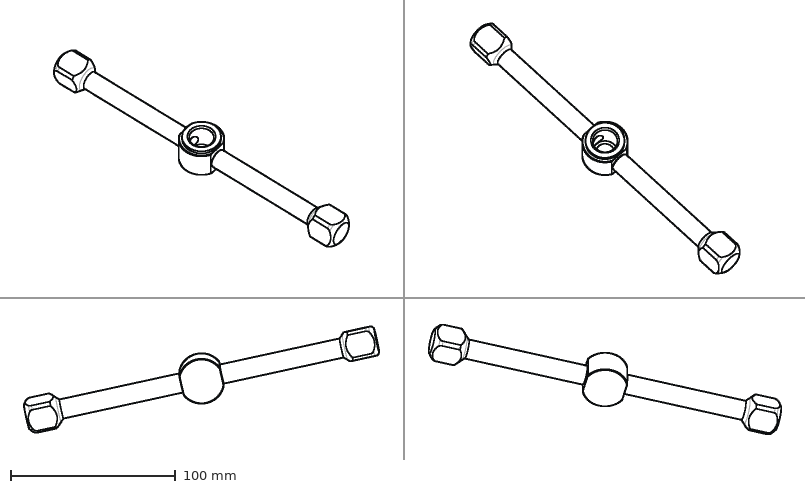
import cadquery as cq
import math

overall_length = 218.0

hub_diameter = 28.0
hub_across_flats = 24.9
hub_bottom = -9.0
hub_top = 11.1
hub_edge_chamfer = 0.5
boss_diameter = 23.8
boss_height = 2.0

bore_diameter = 15.0
bore_rim_diameter = 17.2
bore_depth = 16.0
drill_point_diameter = 11.1
drill_point_angle = 118.0

rod_diameter = 12.0
rod_end_chamfer = 0.33
spigot_diameter = 9.0

cap_length = 21.8
cap_across_flats = 18.0
cap_barrel_diameter = 22.9
cap_tilt = 10.0
cap_face_diameter = 15.0
cap_nose_sphere_radius = 14.0
cap_nose_fillet = 3.0
cap_collar_length = 2.0
cap_collar_diameter = 15.7


def make_hub():
    """Round hub with two flats, a low boss on top, a blind bore and spigot holes."""
    shoulder = hub_top - boss_height
    hub = (
        cq.Workplane("XY", origin=(0, 0, hub_bottom))
        .circle(hub_diameter / 2)
        .extrude(shoulder - hub_bottom)
        .edges("%CIRCLE")
        .chamfer(hub_edge_chamfer)
    )
    boss = cq.Workplane("XY", origin=(0, 0, shoulder)).circle(boss_diameter / 2).extrude(boss_height)
    flats = cq.Workplane("XY").box(hub_across_flats, 2 * hub_diameter, 2 * hub_diameter)
    return hub.intersect(flats).union(boss).cut(make_bore()).cut(make_spigot_hole())


def make_bore():
    """Chamfered blind bore with a drill point in its floor, revolved about Z."""
    bore_radius = bore_diameter / 2
    rim_radius = bore_rim_diameter / 2
    point_radius = drill_point_diameter / 2
    floor = hub_top - bore_depth
    point_depth = point_radius / math.tan(math.radians(drill_point_angle / 2))
    profile = [
        (0, hub_top),
        (rim_radius, hub_top),
        (bore_radius, hub_top - (rim_radius - bore_radius)),
        (bore_radius, floor),
        (point_radius, floor),
        (0, floor - point_depth),
    ]
    return cq.Workplane("XZ").polyline(profile).close().revolve(360, (0, 0, 0), (0, 1, 0))


def make_spigot_hole():
    """Cross hole along X through both hub walls."""
    return cq.Workplane("YZ").circle(spigot_diameter / 2).extrude(hub_diameter / 2, both=True)


def make_rod():
    """Rod on the +X side, from the hub flat to the cap, with its spigot reaching the bore."""
    start = hub_across_flats / 2
    end = overall_length / 2 - cap_length
    rod = cq.Workplane("YZ", origin=(start, 0, 0)).circle(rod_diameter / 2).extrude(end - start)
    rod = rod.faces("<X").chamfer(rod_end_chamfer)
    spigot = cq.Workplane("YZ").circle(spigot_diameter / 2).extrude(start)
    bore = cq.Workplane("XY").circle(bore_diameter / 2).extrude(hub_diameter, both=True)
    return rod.union(spigot.cut(bore))


def make_cap():
    """Cap on the +X end: a tilted square bar trimmed by a turned profile."""
    outer_end = overall_length / 2
    inner_end = outer_end - cap_length
    barrel_radius = cap_barrel_diameter / 2
    collar_radius = cap_collar_diameter / 2
    face_radius = cap_face_diameter / 2
    collar_end = inner_end + cap_collar_length
    shoulder_end = collar_end + barrel_radius - collar_radius

    sphere_x = outer_end - math.sqrt(cap_nose_sphere_radius**2 - face_radius**2)
    nose_start = sphere_x + math.sqrt(cap_nose_sphere_radius**2 - barrel_radius**2)
    middle_x = (nose_start + outer_end) / 2
    middle_radius = math.sqrt(cap_nose_sphere_radius**2 - (middle_x - sphere_x) ** 2)

    turned = (
        cq.Workplane("XY")
        .moveTo(inner_end, 0)
        .lineTo(inner_end, rod_diameter / 2)
        .lineTo(collar_end, collar_radius)
        .lineTo(shoulder_end, barrel_radius)
        .lineTo(nose_start, barrel_radius)
        .threePointArc((middle_x, middle_radius), (outer_end, face_radius))
        .lineTo(outer_end, 0)
        .close()
        .revolve(360, (0, 0, 0), (1, 0, 0))
    )
    barrel_rim = cq.selectors.NearestToPointSelector((nose_start, 0, 0))
    turned = turned.edges(barrel_rim).fillet(cap_nose_fillet)
    bar = (
        cq.Workplane("YZ", origin=(inner_end, 0, 0))
        .rect(cap_across_flats, cap_across_flats)
        .extrude(cap_length)
        .rotate((0, 0, 0), (1, 0, 0), -cap_tilt)
    )
    return turned.intersect(bar)


def on_both_sides(body):
    """The +X body and its copy turned half a turn about Z."""
    return [body.rotate((0, 0, 0), (0, 0, 1), angle).val() for angle in (0, 180)]


hub = make_hub()
rods = on_both_sides(make_rod())
caps = on_both_sides(make_cap())

result = cq.Compound.makeCompound([hub.val(), *rods, *caps])